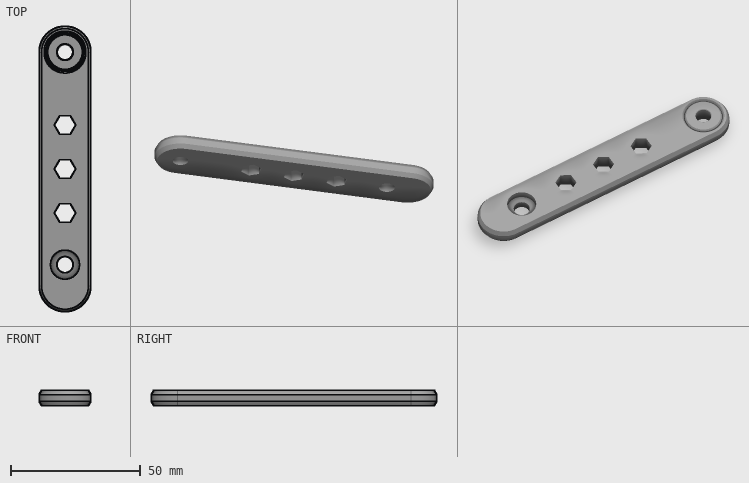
import cadquery as cq
import math

length = 110.0
width = 20.0
thickness = 6.0
end_radius = width / 2
top_z = thickness / 2
edge_inset = 1.0
edge_height = edge_inset * math.tan(math.radians(60))

hex_flats = 7.0
hex_diameter = hex_flats / math.cos(math.pi / 6)
hex_pitch = 16.9
hex_count = 3

bolt_y = -36.8
bolt_hole_diameter = 6.2
counterbore_diameter = 11.2
counterbore_depth = 3.0

disc_y = length / 2 - end_radius
disc_diameter = 14.4
disc_thickness = 4.8
disc_chamfer = 0.5
disc_hole_diameter = 5.9
disc_hole_chamfer = 0.2
seat_clearance = 0.2
seat_diameter = disc_diameter + 2 * seat_clearance
seat_chamfer = 0.7


def cylinder(diameter, height, y, bottom_z):
    """Upright cylinder on the plate centreline."""
    return cq.Workplane("XY", origin=(0, y, bottom_z)).circle(diameter / 2).extrude(height)


def make_plate_blank():
    """Round-ended bar whose top and bottom edges are chamfered by tapered extrusions."""
    taper = math.degrees(math.atan2(edge_inset, edge_height))
    band_top = top_z - edge_height
    band = (
        cq.Workplane("XY", origin=(0, 0, -band_top))
        .slot2D(length, width, 90)
        .extrude(2 * band_top)
    )
    upper_rim = (
        cq.Workplane("XY", origin=(0, 0, band_top))
        .slot2D(length, width, 90)
        .extrude(edge_height, taper=taper)
    )
    lower_rim = upper_rim.mirror("XY")
    return band.union(upper_rim).union(lower_rim)


def cut_hex_holes(plate):
    """Row of through holes with corners pointing along X."""
    cutters = (
        cq.Workplane("XY", origin=(0, 0, -top_z))
        .rarray(1.1, hex_pitch, 1, hex_count)
        .polygon(6, hex_diameter)
        .extrude(thickness)
    )
    return plate.cut(cutters)


def cut_bolt_hole(plate):
    """Through hole with a counterbore from the top."""
    hole = cylinder(bolt_hole_diameter, thickness, bolt_y, -top_z)
    counterbore = cylinder(counterbore_diameter, counterbore_depth, bolt_y, top_z - counterbore_depth)
    return plate.cut(hole).cut(counterbore)


def cut_disc_seat(plate):
    """Flat-bottomed seat with a chamfered mouth and a through hole below."""
    hole = cylinder(disc_hole_diameter, thickness, disc_y, -top_z)
    seat = cylinder(seat_diameter, disc_thickness, disc_y, top_z - disc_thickness)
    mouth = (
        cq.Workplane("XY", origin=(0, disc_y, top_z))
        .circle(seat_diameter / 2 + seat_chamfer)
        .extrude(-seat_chamfer, taper=45)
    )
    return plate.cut(hole).cut(seat).cut(mouth)


def make_plate():
    plate = make_plate_blank()
    plate = cut_hex_holes(plate)
    plate = cut_bolt_hole(plate)
    return cut_disc_seat(plate)


def make_disc():
    """Pierced disc, flush with the plate top, chamfered around its rim and hole."""
    bottom_z = top_z - disc_thickness
    disc = cylinder(disc_diameter, disc_thickness, disc_y, bottom_z)
    disc = disc.faces(">Z").chamfer(disc_chamfer)
    disc = disc.cut(cylinder(disc_hole_diameter, disc_thickness, disc_y, bottom_z))
    hole_edge = disc.faces(">Z").edges(cq.selectors.RadiusNthSelector(0))
    return hole_edge.chamfer(disc_hole_chamfer)


plate = make_plate()
disc = make_disc()

result = cq.Compound.makeCompound([plate.val(), disc.val()])